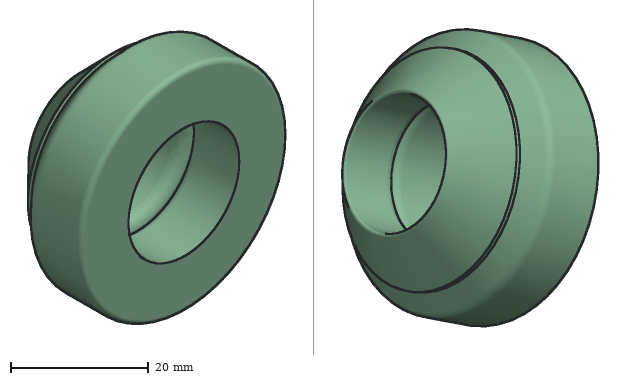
import cadquery as cq
import math

LENGTH = 21.2
OUTER_RADIUS = 21.25

CONE_RADIUS = 17.98
RIM_WIDTH = 0.72
RIM_END = 7.8
LIP_EDGE_X = 0.15
LIP_CREST_RADIUS = 10.62
LIP_INNER_X = 0.35
RIM_START = RIM_END - RIM_WIDTH
LIP_OUTER_RADIUS = CONE_RADIUS - (RIM_START - LIP_EDGE_X)

WASHER_BORE_RADIUS = 10.33
SEAT_BORE_RADIUS = 11.3
JOINT_RADIUS = 31.88
JOINT_CENTRE_X = RIM_END - math.sqrt(JOINT_RADIUS**2 - CONE_RADIUS**2)
WASHER_BORE_FILLET = 2.0
SEAT_BORE_FILLET = 1.7

BLEND_RADIUS = 2.0
BLEND_ANGLE = math.radians(45)
BLEND_LENGTH = BLEND_RADIUS * math.sin(BLEND_ANGLE)
BLEND_RISE = BLEND_RADIUS * (1 - math.cos(BLEND_ANGLE))
HALF_BLEND_LENGTH = BLEND_RADIUS * math.sin(BLEND_ANGLE / 2)
HALF_BLEND_RISE = BLEND_RADIUS * (1 - math.cos(BLEND_ANGLE / 2))
SHOULDER_END = 11.8
SHOULDER_START = SHOULDER_END - BLEND_LENGTH
SHOULDER_RADIUS = OUTER_RADIUS - BLEND_RISE
BACK_FILLET = 0.9
FILLET_MID = BACK_FILLET * (1 - math.sqrt(0.5))


def joint_x(radius):
    """Axial position of the spherical joint at a given radius from the axis."""
    return JOINT_CENTRE_X + math.sqrt(JOINT_RADIUS**2 - radius**2)


def revolve_about_x(profile):
    """Turn a closed (x, radius) profile into a ring about the X axis."""
    return profile.close().revolve(360, (0, 0, 0), (1, 0, 0))


def make_washer():
    """Conical washer with a rounded lip and a bore rounded at the joint."""
    tip_x = joint_x(WASHER_BORE_RADIUS)
    middle_radius = (WASHER_BORE_RADIUS + CONE_RADIUS) / 2
    profile = (
        cq.Workplane("XY")
        .moveTo(LIP_EDGE_X, LIP_OUTER_RADIUS)
        .lineTo(RIM_START, CONE_RADIUS)
        .lineTo(RIM_END, CONE_RADIUS)
        .threePointArc((joint_x(middle_radius), middle_radius), (tip_x, WASHER_BORE_RADIUS))
        .lineTo(LIP_INNER_X, WASHER_BORE_RADIUS)
        .threePointArc((0, LIP_CREST_RADIUS), (LIP_EDGE_X, LIP_OUTER_RADIUS))
    )
    tip = cq.NearestToPointSelector((tip_x, 0, 0))
    return revolve_about_x(profile).edges("%CIRCLE").edges(tip).fillet(WASHER_BORE_FILLET)


def make_seat_ring():
    """Seat ring whose hollow face matches the back of the washer."""
    tip_x = joint_x(SEAT_BORE_RADIUS)
    middle_radius = (SEAT_BORE_RADIUS + CONE_RADIUS) / 2
    profile = (
        cq.Workplane("XY")
        .moveTo(RIM_END, CONE_RADIUS)
        .lineTo(SHOULDER_START, SHOULDER_RADIUS)
        .threePointArc(
            (SHOULDER_END - HALF_BLEND_LENGTH, OUTER_RADIUS - HALF_BLEND_RISE),
            (SHOULDER_END, OUTER_RADIUS),
        )
        .lineTo(LENGTH - BACK_FILLET, OUTER_RADIUS)
        .threePointArc(
            (LENGTH - FILLET_MID, OUTER_RADIUS - FILLET_MID),
            (LENGTH, OUTER_RADIUS - BACK_FILLET),
        )
        .lineTo(LENGTH, SEAT_BORE_RADIUS)
        .lineTo(tip_x, SEAT_BORE_RADIUS)
        .threePointArc((joint_x(middle_radius), middle_radius), (RIM_END, CONE_RADIUS))
    )
    tip = cq.NearestToPointSelector((tip_x, 0, 0))
    return revolve_about_x(profile).edges("%CIRCLE").edges(tip).fillet(SEAT_BORE_FILLET)


washer = make_washer()
seat_ring = make_seat_ring()

result = cq.Compound.makeCompound([washer.val(), seat_ring.val()])